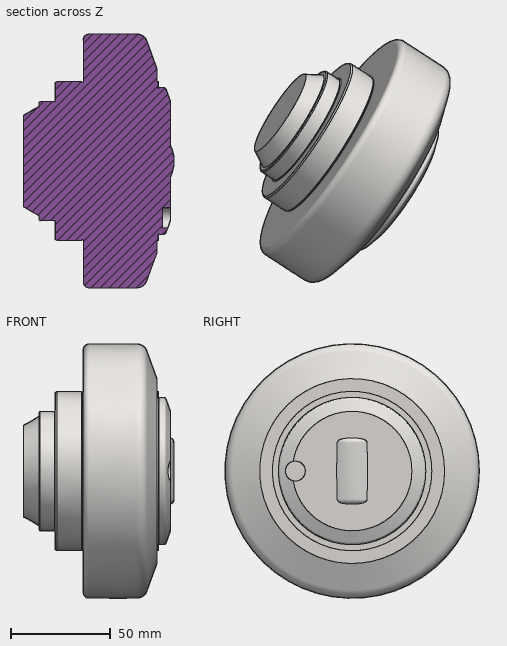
import math
import cadquery as cq

pin_shoulder_x = 7.8
boss_x = 16.0
wheel_x = 30.0
wheel_end_x = 67.1
ring_end_x = 67.8
cap_face_x = 73.9
total_length = 75.8

pin_tip_radius = 23.0
pin_cone_radius = 27.5
pin_radius = 30.0
boss_radius = 40.0
edge_chamfer = 0.6
boss_chamfer_length = 0.8
pin_flare_length = 0.3
pin_flare_height = 0.7
boss_relief_x = 29.2
boss_relief_depth = 0.4

wheel_radius = 63.9
tread_start_x = 33.1
tread_end_x = 56.9
tread_crown = 0.05
left_round = tread_start_x - wheel_x
right_round = 5.5
cone_angle = math.radians(20)

cap_radius = 37.0
cap_face_radius = 30.0
cap_round = 1.6
cap_back_chamfer = 0.4

side_roller_radius = 17.0
side_roller_half_length = 16.7
side_roller_round = 2.5
side_roller_crown = 0.15

recess_diameter = 10.0
recess_offset = 28.5
recess_depth = 4.0


def round_onto_cone(end_x, top_radius, round_radius):
    """Middle and end points of an arc from a cylinder edge down to a tangent cone."""
    sweep = math.pi / 2 - cone_angle
    points = []
    for angle in (sweep / 2, sweep):
        x = end_x + round_radius * math.sin(angle)
        radius = top_radius - round_radius * (1 - math.cos(angle))
        points.append((x, radius))
    return points


def turned_body():
    """Pin, boss, wheel and cap as one revolved outline of (x, radius) points."""
    edge_radius = wheel_radius - tread_crown
    left_mid = (
        tread_start_x - left_round * math.sin(math.pi / 4),
        edge_radius - left_round * (1 - math.cos(math.pi / 4)),
    )
    tread_mid = ((tread_start_x + tread_end_x) / 2, wheel_radius)
    wheel_mid, wheel_tangent = round_onto_cone(tread_end_x, edge_radius, right_round)
    wheel_end_radius = wheel_tangent[1] - (wheel_end_x - wheel_tangent[0]) / math.tan(cone_angle)

    round_sweep = math.pi / 2 - cone_angle
    cap_tangent_radius = cap_radius - cap_round * (1 - math.cos(round_sweep))
    cap_tangent_x = cap_face_x - (cap_tangent_radius - cap_face_radius) * math.tan(cone_angle)
    cap_round_x = cap_tangent_x - cap_round * math.sin(round_sweep)
    cap_mid, cap_tangent = round_onto_cone(cap_round_x, cap_radius, cap_round)

    outline = (
        cq.Workplane("XY")
        .moveTo(0, 0)
        .lineTo(0, pin_tip_radius)
        .lineTo(pin_shoulder_x, pin_cone_radius)
        .lineTo(pin_shoulder_x, pin_radius - edge_chamfer)
        .lineTo(pin_shoulder_x + edge_chamfer, pin_radius)
        .lineTo(boss_x - pin_flare_length, pin_radius)
        .lineTo(boss_x, pin_radius + pin_flare_height)
        .lineTo(boss_x, boss_radius - edge_chamfer)
        .lineTo(boss_x + boss_chamfer_length, boss_radius)
        .lineTo(boss_relief_x, boss_radius)
        .lineTo(boss_relief_x + boss_relief_depth, boss_radius - boss_relief_depth)
        .lineTo(wheel_x, boss_radius - boss_relief_depth)
        .lineTo(wheel_x, edge_radius - left_round)
        .threePointArc(left_mid, (tread_start_x, edge_radius))
        .threePointArc(tread_mid, (tread_end_x, edge_radius))
        .threePointArc(wheel_mid, wheel_tangent)
        .lineTo(wheel_end_x, wheel_end_radius)
        .lineTo(wheel_end_x, boss_radius)
        .lineTo(ring_end_x, boss_radius)
        .lineTo(ring_end_x, cap_radius - cap_back_chamfer)
        .lineTo(ring_end_x + cap_back_chamfer, cap_radius)
        .lineTo(cap_round_x, cap_radius)
        .threePointArc(cap_mid, cap_tangent)
        .lineTo(cap_face_x, cap_face_radius)
        .lineTo(cap_face_x, 0)
        .close()
    )
    return outline.revolve(360, (0, 0, 0), (1, 0, 0))


def side_roller():
    """Crowned roller about Z whose crest stands proud of the cap face."""
    axis_x = total_length - side_roller_radius
    edge_radius = side_roller_radius - side_roller_crown
    crown_half = side_roller_half_length - side_roller_round
    round_shift = side_roller_round * math.sin(math.pi / 4)
    round_drop = side_roller_round - round_shift
    outline = (
        cq.Workplane("XZ")
        .moveTo(0, -side_roller_half_length)
        .lineTo(edge_radius - side_roller_round, -side_roller_half_length)
        .threePointArc(
            (edge_radius - round_drop, -crown_half - round_shift),
            (edge_radius, -crown_half),
        )
        .threePointArc((side_roller_radius, 0), (edge_radius, crown_half))
        .threePointArc(
            (edge_radius - round_drop, crown_half + round_shift),
            (edge_radius - side_roller_round, side_roller_half_length),
        )
        .lineTo(0, side_roller_half_length)
        .close()
    )
    roller = outline.revolve(360, (0, 0, 0), (0, 1, 0))
    return roller.translate((axis_x, 0, 0))


def cap_recess():
    """Round cutter sunk from the cap face near its -Y edge."""
    return (
        cq.Workplane("YZ", origin=(cap_face_x, -recess_offset, 0))
        .circle(recess_diameter / 2)
        .extrude(-recess_depth)
    )


result = turned_body().cut(cap_recess()).union(side_roller())